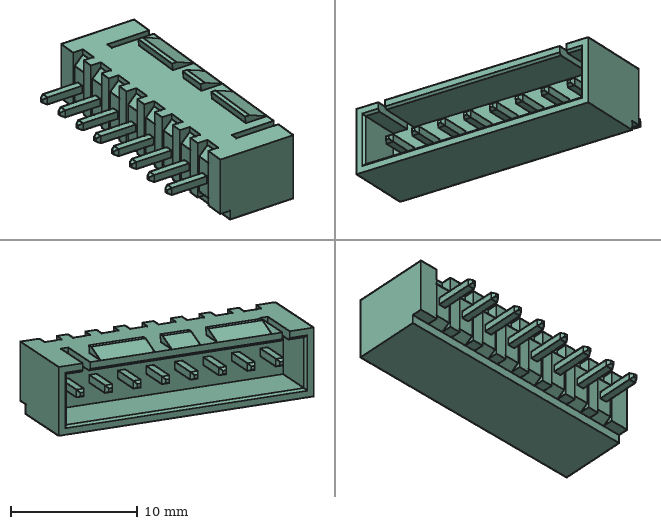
import cadquery as cq


length = 22.4
total_depth = 10.5
total_height = 6.38

housing_depth = 7.0
latch_height = 0.63
housing_height = total_height - latch_height
step_depth = 0.95
step_height = 0.8

pin_count = 8
end_to_pin = 2.45
pitch = (length - 2 * end_to_pin) / (pin_count - 1)
pin_x = [(i - (pin_count - 1) / 2) * pitch for i in range(pin_count)]
pin_size = 0.65
pin_z = housing_height / 2
pin_tip_size = 0.3
pin_tip_length = 0.34
pin_front = housing_depth - total_depth
pin_recess = 0.8
pin_back = housing_depth - pin_recess

wall = 0.76
cavity_depth = 4.0
cavity_floor = housing_depth - cavity_depth
cavity_chamfer = 0.2
slot_width = pin_size

pocket_width = 1.5
pocket_face_inset = 0.15
pocket_slope_top = 5.29
pocket_slope_bottom = 4.5
pocket_undercut_top = 1.3

latch_depth = 2.13
latch_ramp_depth = 1.7
latch_undercut = 0.1
centre_latch_width = 2.5
side_latch_width = 4.77
side_latch_x = 5.13


def box(x_size, y_min, y_max, z_min, z_max, x_centre=0.0):
    """Box centred on x_centre, spanning the given Y and Z ranges."""
    solid = cq.Workplane("XY").box(x_size, y_max - y_min, z_max - z_min, centered=(True, False, False))
    return solid.translate((x_centre, y_min, z_min))


def side_profile(points, width, x_centre):
    """Extrude a (Y, Z) outline along X, centred on x_centre."""
    solid = cq.Workplane("YZ").polyline(points).close().extrude(width / 2, both=True)
    return solid.translate((x_centre, 0, 0))


def make_housing():
    """Outer block with a step along its lower pin-side edge."""
    block = box(length, 0, housing_depth, 0, housing_height)
    return block.cut(box(length, 0, step_depth, 0, step_height))


def make_cavity():
    """Mating cavity with a chamfered mouth."""
    cavity = box(length - 2 * wall, cavity_floor, housing_depth, wall, housing_height - wall)
    mouth = (
        cq.Workplane("XZ", origin=(0, housing_depth, housing_height / 2))
        .rect(length - 2 * (wall - cavity_chamfer), housing_height - 2 * (wall - cavity_chamfer))
        .workplane(offset=cavity_chamfer)
        .rect(length - 2 * wall, housing_height - 2 * wall)
        .loft(ruled=True)
    )
    return cavity.union(mouth)


def make_slot(x):
    """Slot through the top wall, from the cavity floor to the open face."""
    return box(slot_width, cavity_floor, housing_depth, housing_height / 2, housing_height, x)


def make_pocket(x):
    """Shallow pocket that deepens towards the top face and the lower step."""
    outline = [
        (0, housing_height),
        (step_depth, housing_height),
        (step_depth, pocket_slope_top),
        (pocket_face_inset, pocket_slope_bottom),
        (pocket_face_inset, pocket_undercut_top),
        (step_depth, step_height),
        (0, step_height),
    ]
    return side_profile(outline, pocket_width, x)


def make_latch(x, width):
    """Ridge with a ramp from the open face, a flat crest and an undercut front."""
    outline = [
        (housing_depth, housing_height),
        (housing_depth - latch_ramp_depth, total_height),
        (housing_depth - latch_depth, total_height),
        (housing_depth - latch_depth + latch_undercut, housing_height),
    ]
    return side_profile(outline, width, x)


def make_pin(x):
    """Square pin with a tapered tip at both ends."""
    pin = box(
        pin_size,
        pin_front + pin_tip_length,
        pin_back - pin_tip_length,
        pin_z - pin_size / 2,
        pin_z + pin_size / 2,
        x,
    )
    for face in ("<Y", ">Y"):
        tip = (
            pin.faces(face)
            .workplane(centerOption="CenterOfBoundBox")
            .rect(pin_size, pin_size)
            .workplane(offset=pin_tip_length)
            .rect(pin_tip_size, pin_tip_size)
            .loft(ruled=True, combine=False)
        )
        pin = pin.union(tip)
    return pin


result = make_housing().cut(make_cavity())

for x in (pin_x[0], pin_x[-1]):
    result = result.cut(make_slot(x))

for x in pin_x:
    result = result.cut(make_pocket(x))

result = result.union(make_latch(0, centre_latch_width))
for x in (-side_latch_x, side_latch_x):
    result = result.union(make_latch(x, side_latch_width))

for x in pin_x:
    result = result.union(make_pin(x))